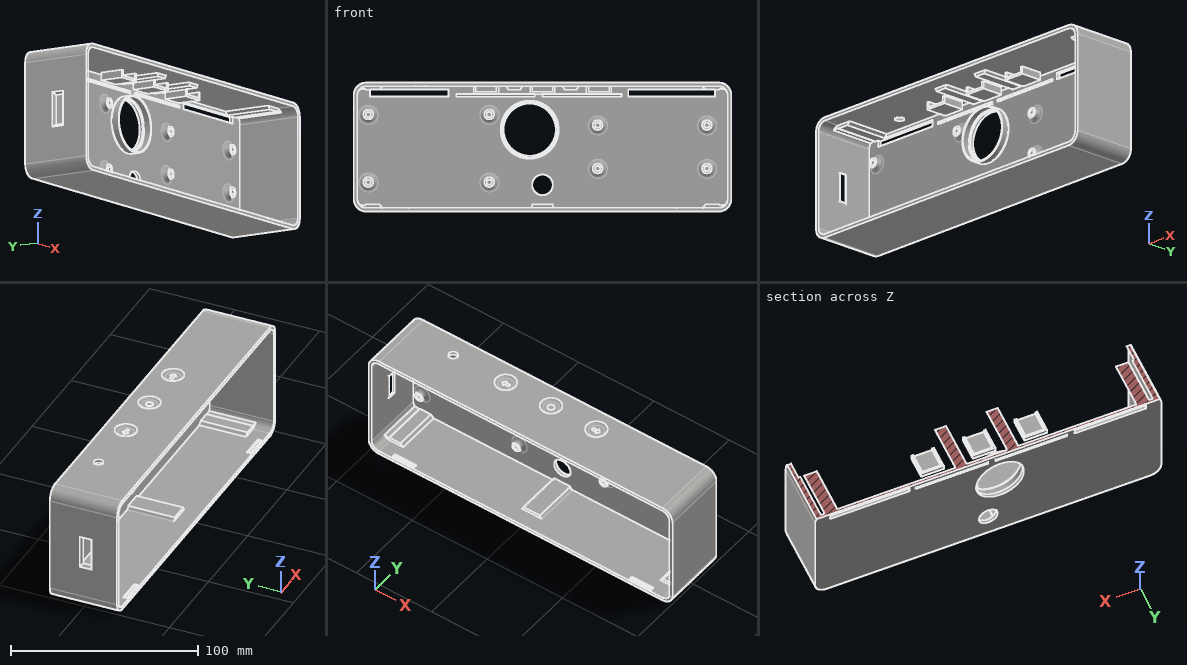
import cadquery as cq
import math


LENGTH = 202.0
DEPTH = 39.5
HEIGHT = 69.0
WALL = 2.0
CORNER_RADIUS = 6.9
INNER_CORNER_RADIUS = CORNER_RADIUS - WALL

BACK = DEPTH / 2
BACK_INNER = BACK - WALL
TOP = HEIGHT / 2
CEILING = TOP - WALL
FLOOR = -CEILING

ARC_MIDPOINT = 1 - math.sqrt(0.5)

STOP_FRONT = -9.7
STOP_HEIGHT = 1.8
CORNER_STOP_X = 91.0
CORNER_STOP_TIP_WIDTH = 7.3
CORNER_STOP_SLOPE = 1.8
CORNER_STEP_HEIGHT = 1.2
CEILING_STOP_TIP_WIDTH = 6.5
CEILING_STOP_SLOPE = 1.0
CENTRE_STOP_WIDTH = 11.0
CENTRE_STOP_FOOT = 1.2

GROOVE_X = 78.8
GROOVE_LENGTH = 14.1
GROOVE_WIDTH = 2.0
GROOVE_DEPTH = 1.0
GROOVE_Y = -17.5

STANDOFF_HEIGHT = 3.0
STANDOFF_RADIUS = 2.6
STANDOFF_FLARE = 2.5
STANDOFF_HOLE_RADIUS = 1.5
LEFT_STANDOFFS_X = (-93.1, -28.5)
LEFT_STANDOFFS_Z = (17.4, -18.8)
RIGHT_STANDOFFS_X = (29.5, 87.9)
RIGHT_STANDOFFS_Z = (11.7, -11.5)

SPEAKER_X = -6.9
SPEAKER_Z = 9.3
SPEAKER_HOLE_RADIUS = 14.0
COLLAR_INNER_RADIUS = 15.0
COLLAR_OUTER_RADIUS = 15.5
COLLAR_HEIGHT = 4.6

CABLE_HOLE_Z = -20.2
CABLE_HOLE_RADIUS = 5.5

VENT_BOTTOM = 27.0
WIDE_VENT_TOP = 30.7
NARROW_VENT_TOP = 28.3
VENTS = (
    (-92.1, -50.3, WIDE_VENT_TOP),
    (-46.0, -4.2, NARROW_VENT_TOP),
    (0.0, 42.2, NARROW_VENT_TOP),
    (45.9, 92.1, WIDE_VENT_TOP),
)

BUTTON_PITCH = 30.0
BUTTON_Y = 7.7
DISH_RADIUS = 6.0
DISH_FLOOR_RADIUS = 4.2
DISH_DEPTH = 1.0
ICON_DEPTH = 0.2
DOT_RADIUS = 2.0
ARROW_REACH = 2.5
ARROW_NECK = 0.6
ARROW_HEAD_HALF = 1.8
ARROW_SHAFT_HALF = 0.8
HOLDER_WIDTH = 13.3
HOLDER_WALL = 1.2
HOLDER_BOTTOM = 28.3

SENSOR_X = -65.0
SENSOR_RADIUS = 2.6

PORT_Y = -1.5
PORT_OUTER_WIDTH = 6.9
PORT_OUTER_HEIGHT = 19.0
PORT_INNER_WIDTH = 4.6
PORT_INNER_HEIGHT = 16.2


def facing_front(y):
    """Sketch plane at y: local axes are X and Z, extrusion runs toward -Y."""
    return cq.Workplane("XZ", origin=(0, y, 0))


def facing_up(z):
    """Sketch plane at z: extrusion runs toward +Z."""
    return cq.Workplane("XY", origin=(0, 0, z))


def make_shell():
    outer = cq.Workplane("XY").box(LENGTH, DEPTH, HEIGHT).edges("|Y").fillet(CORNER_RADIUS)
    cavity = (
        facing_front(BACK_INNER)
        .rect(LENGTH - 2 * WALL, HEIGHT - 2 * WALL)
        .extrude(DEPTH)
        .edges("|Y")
        .fillet(INNER_CORNER_RADIUS)
    )
    return outer.cut(cavity)


def make_stop(x, side, tip_width, slope):
    """Trapezoidal rib on the ceiling (side = 1) or the floor (side = -1), rooted in the wall."""
    tip_half = tip_width / 2
    base_half = tip_half + slope
    root = side * (CEILING + WALL / 2)
    base = side * CEILING
    tip = side * (CEILING - STOP_HEIGHT)
    outline = [
        (x - base_half, root),
        (x - base_half, base),
        (x - tip_half, tip),
        (x + tip_half, tip),
        (x + base_half, base),
        (x + base_half, root),
    ]
    return facing_front(BACK_INNER).polyline(outline).close().extrude(BACK_INNER - STOP_FRONT)


def make_corner_step(x, side):
    """Lower sloping step that carries a corner stop into the rounded corner beside it."""
    inner_x = abs(x) + CORNER_STOP_TIP_WIDTH / 2
    drop = INNER_CORNER_RADIUS - STOP_HEIGHT
    arc_reach = math.sqrt(INNER_CORNER_RADIUS**2 - drop**2)
    outer_x = LENGTH / 2 - CORNER_RADIUS + arc_reach
    outline = [
        (abs(x), CEILING),
        (abs(x), CEILING - CORNER_STEP_HEIGHT),
        (inner_x, CEILING - CORNER_STEP_HEIGHT),
        (outer_x, CEILING - STOP_HEIGHT),
        (outer_x, CEILING),
    ]
    placed = [(math.copysign(px, x), side * pz) for px, pz in outline]
    return facing_front(BACK_INNER).polyline(placed).close().extrude(BACK_INNER - STOP_FRONT)


def make_centre_stop():
    """Straight-sided floor rib whose long sides flow into the floor with concave fillets."""
    half = CENTRE_STOP_WIDTH / 2
    foot_half = half + CENTRE_STOP_FOOT
    foot_top = FLOOR + CENTRE_STOP_FOOT
    rib_top = FLOOR + STOP_HEIGHT
    root = FLOOR - WALL / 2
    arc_offset = CENTRE_STOP_FOOT * ARC_MIDPOINT
    arc_x = half + arc_offset
    arc_z = FLOOR + arc_offset
    return (
        facing_front(BACK_INNER)
        .moveTo(-foot_half, root)
        .lineTo(-foot_half, FLOOR)
        .threePointArc((-arc_x, arc_z), (-half, foot_top))
        .lineTo(-half, rib_top)
        .lineTo(half, rib_top)
        .lineTo(half, foot_top)
        .threePointArc((arc_x, arc_z), (foot_half, FLOOR))
        .lineTo(foot_half, root)
        .close()
        .extrude(BACK_INNER - STOP_FRONT)
    )


def make_standoff(x, z):
    """Hollow post with a concave flare where it meets the back wall."""
    base_radius = STANDOFF_RADIUS + STANDOFF_FLARE
    flare_offset = STANDOFF_FLARE * ARC_MIDPOINT
    front_y = BACK_INNER - STANDOFF_HEIGHT
    profile = (
        cq.Workplane("XY", origin=(x, 0, z))
        .moveTo(STANDOFF_HOLE_RADIUS, front_y)
        .lineTo(STANDOFF_RADIUS, front_y)
        .lineTo(STANDOFF_RADIUS, BACK_INNER - STANDOFF_FLARE)
        .threePointArc(
            (STANDOFF_RADIUS + flare_offset, BACK_INNER - flare_offset),
            (base_radius, BACK_INNER),
        )
        .lineTo(STANDOFF_HOLE_RADIUS, BACK_INNER)
        .close()
    )
    return profile.revolve(360, (0, 0, 0), (0, 1, 0))


def make_collar():
    return (
        facing_front(BACK_INNER)
        .center(SPEAKER_X, SPEAKER_Z)
        .circle(COLLAR_OUTER_RADIUS)
        .circle(COLLAR_INNER_RADIUS)
        .extrude(COLLAR_HEIGHT)
    )


def make_switch_holder(x):
    """Box under a button with a pocket that opens toward the front."""
    height = CEILING - HOLDER_BOTTOM
    holder = (
        facing_up(HOLDER_BOTTOM)
        .center(x, BUTTON_Y)
        .rect(HOLDER_WIDTH, HOLDER_WIDTH)
        .extrude(height)
    )
    pocket = (
        facing_up(HOLDER_BOTTOM + HOLDER_WALL)
        .center(x, BUTTON_Y - HOLDER_WALL)
        .rect(HOLDER_WIDTH - 2 * HOLDER_WALL, HOLDER_WIDTH)
        .extrude(height - HOLDER_WALL)
    )
    return holder.cut(pocket)


def make_button_dish(x):
    """Round recess with a flat floor and a concave rim that is tangent to the floor."""
    floor_z = TOP - DISH_DEPTH
    profile = (
        cq.Workplane("XZ", origin=(x, BUTTON_Y, 0))
        .moveTo(0, TOP)
        .lineTo(0, floor_z)
        .lineTo(DISH_FLOOR_RADIUS, floor_z)
        .tangentArcPoint((DISH_RADIUS, TOP), relative=False)
        .close()
    )
    return profile.revolve(360, (0, 0, 0), (0, 1, 0))


def make_dot_icon():
    return facing_up(TOP - DISH_DEPTH).center(0, BUTTON_Y).circle(DOT_RADIUS).extrude(-ICON_DEPTH)


def make_arrow_icon(x, side):
    """Arrow engraved in a dish floor, pointing toward +X (side = 1) or -X (side = -1)."""
    tip = side * ARROW_REACH
    neck = side * ARROW_NECK
    outline = [
        (tip, 0),
        (neck, ARROW_HEAD_HALF),
        (neck, ARROW_SHAFT_HALF),
        (-tip, ARROW_SHAFT_HALF),
        (-tip, -ARROW_SHAFT_HALF),
        (neck, -ARROW_SHAFT_HALF),
        (neck, -ARROW_HEAD_HALF),
    ]
    plane = facing_up(TOP - DISH_DEPTH).center(x, BUTTON_Y)
    return plane.polyline(outline).close().extrude(-ICON_DEPTH)


def make_back_hole(x, z, radius):
    return facing_front(BACK).center(x, z).circle(radius).extrude(WALL)


def make_vent(left, right, upper):
    width = right - left
    height = upper - VENT_BOTTOM
    centre_x = (left + right) / 2
    centre_z = (upper + VENT_BOTTOM) / 2
    return facing_front(BACK).center(centre_x, centre_z).rect(width, height).extrude(WALL)


def make_sensor_hole():
    return facing_up(CEILING).center(SENSOR_X, BUTTON_Y).circle(SENSOR_RADIUS).extrude(WALL)


def make_port():
    return (
        cq.Workplane("YZ", origin=(-LENGTH / 2, PORT_Y, 0))
        .rect(PORT_OUTER_WIDTH, PORT_OUTER_HEIGHT)
        .workplane(offset=WALL)
        .rect(PORT_INNER_WIDTH, PORT_INNER_HEIGHT)
        .loft()
    )


def make_groove(x):
    opening = facing_up(FLOOR).center(x, GROOVE_Y).rect(GROOVE_LENGTH, GROOVE_WIDTH)
    return opening.extrude(-GROOVE_DEPTH)


result = make_shell()
for stop_x in (-CORNER_STOP_X, CORNER_STOP_X):
    for wall_side in (-1, 1):
        result = result.union(make_stop(stop_x, wall_side, CORNER_STOP_TIP_WIDTH, CORNER_STOP_SLOPE))
        result = result.union(make_corner_step(stop_x, wall_side))
for stop_x in (-BUTTON_PITCH / 2, BUTTON_PITCH / 2):
    result = result.union(make_stop(stop_x, 1, CEILING_STOP_TIP_WIDTH, CEILING_STOP_SLOPE))
result = result.union(make_centre_stop())

for columns, rows in (
    (LEFT_STANDOFFS_X, LEFT_STANDOFFS_Z),
    (RIGHT_STANDOFFS_X, RIGHT_STANDOFFS_Z),
):
    for post_x in columns:
        for post_z in rows:
            result = result.union(make_standoff(post_x, post_z))

result = result.union(make_collar())
for button_x in (-BUTTON_PITCH, 0, BUTTON_PITCH):
    result = result.union(make_switch_holder(button_x))

for button_x in (-BUTTON_PITCH, 0, BUTTON_PITCH):
    result = result.cut(make_button_dish(button_x))
result = result.cut(make_dot_icon())
for arrow_side in (-1, 1):
    result = result.cut(make_arrow_icon(arrow_side * BUTTON_PITCH, arrow_side))

result = result.cut(make_back_hole(SPEAKER_X, SPEAKER_Z, SPEAKER_HOLE_RADIUS))
result = result.cut(make_back_hole(0, CABLE_HOLE_Z, CABLE_HOLE_RADIUS))
for vent_left, vent_right, vent_top in VENTS:
    result = result.cut(make_vent(vent_left, vent_right, vent_top))
result = result.cut(make_sensor_hole())
result = result.cut(make_port())
for groove_x in (-GROOVE_X, GROOVE_X):
    result = result.cut(make_groove(groove_x))

result = result.solids()